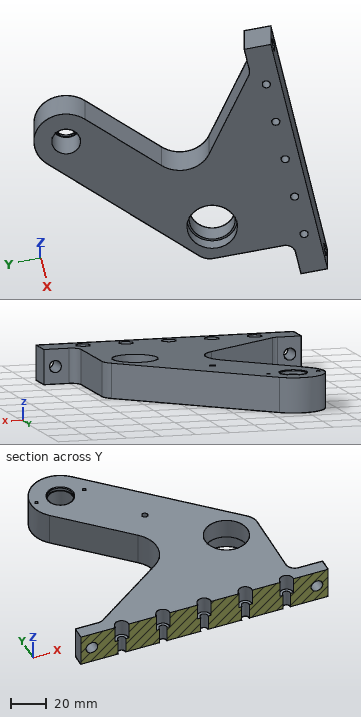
import cadquery as cq
import math

thickness = 20.0
bar_length = 150.0
bar_width = 15.25

head_x = -37.0
head_y = 124.94
head_radius = 18.0
arm_angle = math.radians(42.5)

web_foot_x = -59.3
web_angle = math.radians(35.5)
web_right_x = 55.0

inner_corner_radius = 17.8
outer_corner_radius = 10.0
foot_fillet_radius = 5.5

head_bore_diameter = 15.0
head_bore_chamfer = 0.5
head_recess_diameter = 16.0
head_recess_depth = 17.5

web_bore_x = 34.6
web_bore_y = 57.1
web_bore_diameter = 25.7
web_recess_diameter = 28.0
web_recess_depth = 8.0

bolt_count = 5
bolt_pitch = 25.0
bolt_y = 8.0
bolt_diameter = 4.5
bolt_counterbore_diameter = 8.0
bolt_counterbore_depth = 10.0

drill_point_angle = math.radians(118.0)
pin_diameter = 1.8
pin_offset = 14.5
pin_depth = 5.0
arm_hole_diameter = 3.4
arm_hole_x = -0.3
arm_hole_y = 91.1
arm_hole_depth = 10.0

end_hole_diameter = 6.8
end_hole_x = 68.25


def on_circle(x, y, radius, angle):
    """Point of a circle at an angle measured from +X."""
    return (x + radius * math.cos(angle), y + radius * math.sin(angle))


def inner_corner(arm_edge_start):
    """Sharp corner where the lower arm edge meets the web edge."""
    start_x, start_y = arm_edge_start
    web_slope = math.tan(web_angle)
    arm_slope = -math.tan(arm_angle)
    web_level = bar_width - web_slope * web_foot_x
    arm_level = start_y - arm_slope * start_x
    x = (web_level - arm_level) / (arm_slope - web_slope)
    return (x, web_level + web_slope * x)


def make_plate():
    """Extruded outline of bar, web and arm, with its corners rounded."""
    half_length = bar_length / 2
    upper_normal = math.pi / 2 - arm_angle
    lower_normal = -math.pi / 2 - arm_angle
    head_lower = on_circle(head_x, head_y, head_radius, lower_normal)
    head_tip = on_circle(head_x, head_y, head_radius, math.pi - arm_angle)
    head_upper = on_circle(head_x, head_y, head_radius, upper_normal)
    upper_x, upper_y = head_upper
    outer_corner = (web_right_x, upper_y - (web_right_x - upper_x) * math.tan(arm_angle))
    corner = inner_corner(head_lower)
    web_foot = (web_foot_x, bar_width)
    right_foot = (web_right_x, bar_width)

    plate = (
        cq.Workplane("XY")
        .moveTo(-half_length, 0)
        .lineTo(-half_length, bar_width)
        .lineTo(*web_foot)
        .lineTo(*corner)
        .lineTo(*head_lower)
        .threePointArc(head_tip, head_upper)
        .lineTo(*outer_corner)
        .lineTo(*right_foot)
        .lineTo(half_length, bar_width)
        .lineTo(half_length, 0)
        .close()
        .extrude(thickness)
    )
    roundings = (
        (corner, inner_corner_radius),
        (outer_corner, outer_corner_radius),
        (web_foot, foot_fillet_radius),
        (right_foot, foot_fillet_radius),
    )
    for (x, y), radius in roundings:
        edge = cq.selectors.NearestToPointSelector((x, y, thickness / 2))
        plate = plate.edges("|Z").edges(edge).fillet(radius)
    return plate


def drill(diameter, depth, points):
    """Cylinders reaching down from the top face."""
    return (
        cq.Workplane("XY", origin=(0, 0, thickness))
        .pushPoints(points)
        .circle(diameter / 2)
        .extrude(-depth)
    )


def recess(diameter, depth, x, y):
    """Cylinder reaching up from the bottom face."""
    return cq.Workplane("XY").center(x, y).circle(diameter / 2).extrude(depth)


def cut_head_bore(part):
    """Bore chamfered at the top and widened by a recess from the bottom."""
    part = part.cut(drill(head_bore_diameter, thickness, [(head_x, head_y)]))
    rim = cq.selectors.NearestToPointSelector((head_x, head_y, thickness))
    part = part.faces(">Z").edges("%CIRCLE").edges(rim).chamfer(head_bore_chamfer)
    return part.cut(recess(head_recess_diameter, head_recess_depth, head_x, head_y))


def cut_web_bore(part):
    """Plain bore widened by a recess from the bottom."""
    part = part.cut(drill(web_bore_diameter, thickness, [(web_bore_x, web_bore_y)]))
    return part.cut(recess(web_recess_diameter, web_recess_depth, web_bore_x, web_bore_y))


def cut_bolt_holes(part):
    """Row of counterbored holes along the foot bar."""
    first_x = -bolt_pitch * (bolt_count - 1) / 2
    points = [(first_x + i * bolt_pitch, bolt_y) for i in range(bolt_count)]
    part = part.cut(drill(bolt_diameter, thickness, points))
    return part.cut(drill(bolt_counterbore_diameter, bolt_counterbore_depth, points))


def drill_blind(diameter, depth, x, y):
    """Hole from the top face with a conical drill point below its full depth."""
    radius = diameter / 2
    point_length = radius / math.tan(drill_point_angle / 2)
    full_depth_z = thickness - depth
    return (
        cq.Workplane("XZ")
        .moveTo(0, thickness)
        .lineTo(radius, thickness)
        .lineTo(radius, full_depth_z)
        .lineTo(0, full_depth_z - point_length)
        .close()
        .revolve(360, (0, 0, 0), (0, 1, 0))
        .translate((x, y, 0))
    )


def cut_blind_holes(part):
    """Two pin holes beside the head bore and one hole halfway along the arm."""
    for side in (-1, 1):
        part = part.cut(drill_blind(pin_diameter, pin_depth, head_x + side * pin_offset, head_y))
    return part.cut(drill_blind(arm_hole_diameter, arm_hole_depth, arm_hole_x, arm_hole_y))


def cut_end_holes(part):
    """Holes along Y through both ends of the foot bar, at mid thickness."""
    holes = (
        cq.Workplane("XZ")
        .pushPoints([(side * end_hole_x, thickness / 2) for side in (-1, 1)])
        .circle(end_hole_diameter / 2)
        .extrude(-bar_width)
    )
    return part.cut(holes)


result = make_plate()
result = cut_head_bore(result)
result = cut_web_bore(result)
result = cut_bolt_holes(result)
result = cut_blind_holes(result)
result = cut_end_holes(result)